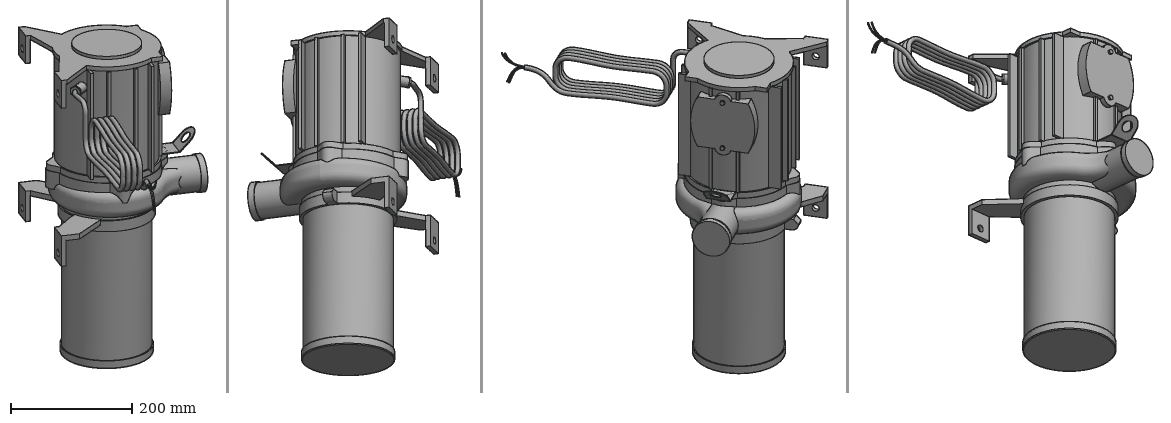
import cadquery as cq
import math


cap_top = 551.0
plate_top = 545.5
plate_thickness = 7.5
flange_top = 348.0
flange_bottom = 338.0
lug_bottom = 306.5
volute_top = 322.0
volute_bottom = 276.5
clamp_top = 266.0
clamp_bottom = 247.0
foot_ring_height = 14.5

cap_diameter = 115.5
motor_radius = 86.5
plate_radius = 90.0
plate_ear_half_width = 70.5
plate_ear_y = 75.0
rib_thickness = 5.0
outer_rib_reach = 88.0
inner_rib_reach = 91.0
outer_rib_y = 52.5
inner_rib_y = 23.0
back_rib_reach = 87.5
flange_radius = 91.0
flange_inset = 1.0
lug_tip_radius = 104.5
lug_root_radius = 82.5
lug_root_half_width = 27.0
lug_tip_half_width = 9.5
lug_tip_bulge = 4.0

bracket_half_width = 119.5
bracket_front_y = -115.0
tab_width = 39.5
tab_thickness = 8.0
tab_inner_x = bracket_half_width - tab_width
tab_back_y = bracket_front_y + tab_thickness
top_arm_root = (70.0, -56.0)
top_arm_corner_y = -105.0
top_arm_front_root = (19.0, -87.5)
low_arm_root_inner = (33.0, -64.0)
low_arm_root_outer = (71.0, -31.5)
low_arm_corner_y = -84.0
tab_hole_diameter = 12.0
tab_hole_x = 100.5
top_tab_bottom = 496.0
top_hole_z = 514.5
low_bracket_top = 268.0
low_bracket_thickness = 9.5
low_tab_bottom = 213.0
low_hole_z = 230.0

box_center_z = 476.0
box_half_width = 55.0
box_corner_half_width = 43.5
box_height = 92.5
box_inner_y = 76.0
box_outer_y = 95.5
strap_height = 112.5
strap_width = 30.0
strap_inner_y = 86.5
screw_diameter = 7.5
screw_length = 3.5
screw_offset_z = 42.5

gland_angle = -45.0
gland_root_radius = 77.0
gland_nut_radius = 107.5
gland_z = 504.0
gland_diameter = 17.5
nut_size = 20.0
nut_length = 3.5

tube_diameter = 150.0
foot_ring_diameter = 154.5
foot_chamfer = 1.5
clamp_radius = 80.5
neck_radius = 77.0
volute_round = 15.5
volute_left = (-106.5, 10.5)
volute_front_y = -96.0
volute_front_right = (80.5, -60.0)
volute_throat_corner = (58.0, 82.5)
throat_half_width = 27.5
throat_end_y = 127.0
volute_throat_left = (-throat_half_width, 109.0)
volute_back_left = (-77.5, 77.0)
outlet_z = 298.5
outlet_diameter = 61.0
outlet_rim_diameter = 64.5
outlet_rim_length = 11.0
outlet_end_y = 165.0
clasp_tip_x = -104.0
clasp_y = (-9.5, 7.0)
clasp_round = 12.0
clasp_tip_z = clamp_bottom + clasp_round
clasp_top = 267.0

eye_width = 41.0
eye_thickness = 1.5
eye_inner_y = 88.0
eye_bend_y = 120.0
eye_slope_length = 44.0
eye_hole_diameter = 20.0
eye_angle = 45.0

cable_diameter = 8.0
coil_left = 136.0
coil_right = 328.5
coil_bottom = 421.5
coil_top = 482.5
coil_corner = 23.5
coil_sag = 3.0
coil_start_y = -78.0
coil_pitch = 10.0
coil_turns = 4
lead_drop_top_z = 487.5
tail_middle = (340.5, -37.0, 442.5)
cable_end = (381.5, -44.0, 453.0)
wire_diameter = 2.0
wire_spacing = 0.5
wire_embed = 2.0
wire_end_lean = 0.4
wire_ends = [(3.0, 415.0, 475.0), (-3.0, 421.0, 473.5), (3.0, 408.0, 421.0), (-3.0, 411.5, 421.0)]


def disc(radius, bottom, top):
    """Cylinder on the Z axis."""
    return cq.Workplane("XY").workplane(offset=bottom).circle(radius).extrude(top - bottom)


def block(x0, x1, y0, y1, z0, z1):
    """Axis-aligned box between two corners."""
    return cq.Workplane("XY").box(x1 - x0, y1 - y0, z1 - z0, centered=False).translate((x0, y0, z0))


def lugged_disc(bottom, top, lug_base, inset):
    """Flange disc with four rounded bolt lugs."""
    body = disc(flange_radius - inset, bottom, top)
    tip = lug_tip_radius - inset
    lug = (
        cq.Workplane("XY")
        .workplane(offset=lug_base)
        .moveTo(lug_root_radius, -lug_root_half_width)
        .lineTo(tip - lug_tip_bulge, -lug_tip_half_width)
        .threePointArc((tip, 0), (tip - lug_tip_bulge, lug_tip_half_width))
        .lineTo(lug_root_radius, lug_root_half_width)
        .close()
        .extrude(top - lug_base)
    )
    for quarter in range(4):
        body = body.union(lug.rotate((0, 0, 0), (0, 0, 1), 90 * quarter))
    return body


def tab(side, bottom, top, hole_z):
    """Upright bracket tab with its screw hole; side is -1 or +1 along X."""
    x_edges = sorted((side * bracket_half_width, side * tab_inner_x))
    plate = block(*x_edges, bracket_front_y, tab_back_y, bottom, top)
    hole = (
        cq.Workplane("XZ", origin=(side * tab_hole_x, 0, hole_z))
        .circle(tab_hole_diameter / 2)
        .extrude(-2 * bracket_front_y, both=True)
    )
    return plate.cut(hole)


def top_plate():
    """Round motor end plate with two back ears and two front bracket arms."""
    bottom = plate_top - plate_thickness
    right_side = [
        top_arm_front_root,
        (tab_inner_x, tab_back_y),
        (tab_inner_x, bracket_front_y),
        (bracket_half_width, bracket_front_y),
        (bracket_half_width, top_arm_corner_y),
        top_arm_root,
    ]
    left_side = [(-x, y) for x, y in reversed(right_side)]
    arms = cq.Workplane("XY").workplane(offset=bottom).polyline(right_side + left_side).close()
    arms = arms.extrude(plate_thickness)
    ears = block(-plate_ear_half_width, plate_ear_half_width, 0, plate_ear_y, bottom, plate_top)
    plate = disc(plate_radius, bottom, plate_top).union(arms).union(ears)
    for side in (-1, 1):
        plate = plate.union(tab(side, top_tab_bottom, plate_top, top_hole_z))
    return plate


def ribbed_barrel():
    """Motor barrel with upright cooling ribs on both sides and on the back."""
    top = plate_top - plate_thickness
    half = rib_thickness / 2
    barrel = disc(motor_radius, flange_top, top)
    for rib_y, reach in ((outer_rib_y, outer_rib_reach), (inner_rib_y, inner_rib_reach)):
        for y in (-rib_y, rib_y):
            barrel = barrel.union(block(-reach, reach, y - half, y + half, flange_top, top))
    for x in (-inner_rib_y, inner_rib_y):
        barrel = barrel.union(block(x - half, x + half, 0, back_rib_reach, flange_top, top))
    return barrel


def junction_box():
    """Box with bulging sides, a taller round-ended strap and two strap screws, on the motor back."""
    half_height = box_height / 2
    box = (
        cq.Workplane("XZ", origin=(0, box_outer_y, box_center_z))
        .moveTo(-box_corner_half_width, -half_height)
        .lineTo(box_corner_half_width, -half_height)
        .threePointArc((box_half_width, 0), (box_corner_half_width, half_height))
        .lineTo(-box_corner_half_width, half_height)
        .threePointArc((-box_half_width, 0), (-box_corner_half_width, -half_height))
        .close()
        .extrude(box_outer_y - box_inner_y)
    )
    strap = (
        cq.Workplane("XZ", origin=(0, box_outer_y, box_center_z))
        .slot2D(strap_height, strap_width, 90)
        .extrude(box_outer_y - strap_inner_y)
    )
    screws = (
        cq.Workplane("XZ", origin=(0, box_outer_y, box_center_z))
        .pushPoints([(0, -screw_offset_z), (0, screw_offset_z)])
        .circle(screw_diameter / 2)
        .extrude(-screw_length)
    )
    return box.union(strap).union(screws)


gland_direction = cq.Vector(math.cos(math.radians(gland_angle)), math.sin(math.radians(gland_angle)), 0)


def gland_point(radius):
    """Point on the radial gland axis at a distance from the motor axis."""
    return gland_direction * radius + cq.Vector(0, 0, gland_z)


def cable_gland():
    """Radial round gland with a hexagon nut at its outer end."""
    root_plane = cq.Plane(gland_point(gland_root_radius), xDir=(0, 0, 1), normal=gland_direction)
    nut_plane = cq.Plane(gland_point(gland_nut_radius), xDir=(0, 0, 1), normal=gland_direction)
    barrel = cq.Workplane(root_plane).circle(gland_diameter / 2)
    barrel = barrel.extrude(gland_nut_radius - gland_root_radius)
    nut = cq.Workplane(nut_plane).polygon(6, nut_size).extrude(nut_length)
    return barrel.union(nut)


def lifting_eye():
    """Thin strip over the back flange lug, bent up at its free end and pierced."""
    half = eye_width / 2
    strip = block(-half, half, eye_inner_y, eye_bend_y, flange_top, flange_top + eye_thickness)
    hole_y = eye_slope_length - half
    slope = (
        cq.Workplane("XY")
        .moveTo(-half, 0)
        .lineTo(half, 0)
        .lineTo(half, hole_y)
        .threePointArc((0, eye_slope_length), (-half, hole_y))
        .close()
        .extrude(eye_thickness)
        .cut(cq.Workplane("XY").center(0, hole_y).circle(eye_hole_diameter / 2).extrude(eye_thickness))
        .rotate((0, 0, 0), (1, 0, 0), eye_angle)
        .translate((0, eye_bend_y, flange_top))
    )
    return strip.union(slope)


def make_motor():
    """Motor with its end plate, flange, junction box, gland and lifting eye."""
    motor = ribbed_barrel().union(top_plate())
    motor = motor.union(disc(cap_diameter / 2, plate_top, cap_top))
    motor = motor.union(lugged_disc(flange_bottom, flange_top, flange_bottom, flange_inset))
    return motor.union(junction_box()).union(cable_gland()).union(lifting_eye())


def volute():
    """Pump volute that widens around the -X side towards the outlet, with rounded rims."""
    return (
        cq.Workplane("XY")
        .workplane(offset=volute_bottom)
        .moveTo(*volute_left)
        .threePointArc((0, volute_front_y), volute_front_right)
        .tangentArcPoint(volute_throat_corner, relative=False)
        .tangentArcPoint((throat_half_width, throat_end_y), relative=False)
        .lineTo(-throat_half_width, throat_end_y)
        .lineTo(*volute_throat_left)
        .threePointArc(volute_back_left, volute_left)
        .close()
        .extrude(volute_top - volute_bottom)
        .faces("<Z or >Z")
        .edges()
        .fillet(volute_round)
    )


def outlet():
    """Horizontal outlet pipe towards +Y with a rim at its end."""
    pipe = (
        cq.Workplane("XZ", origin=(0, 0, outlet_z))
        .circle(outlet_diameter / 2)
        .extrude(-outlet_end_y)
    )
    rim = (
        cq.Workplane("XZ", origin=(0, outlet_end_y, outlet_z))
        .circle(outlet_rim_diameter / 2)
        .extrude(outlet_rim_length)
    )
    return pipe.union(rim)


def low_bracket(side):
    """Arm from the clamp ring to a tab; side is -1 or +1 along X."""
    arm = (
        cq.Workplane("XY")
        .workplane(offset=low_bracket_top - low_bracket_thickness)
        .polyline([
            (side * low_arm_root_inner[0], low_arm_root_inner[1]),
            (side * tab_inner_x, tab_back_y),
            (side * tab_inner_x, bracket_front_y),
            (side * bracket_half_width, bracket_front_y),
            (side * bracket_half_width, low_arm_corner_y),
            (side * low_arm_root_outer[0], low_arm_root_outer[1]),
        ])
        .close()
        .extrude(low_bracket_thickness)
    )
    return arm.union(tab(side, low_tab_bottom, low_bracket_top, low_hole_z))


def clasp():
    """Clamp-ring clasp on the -X side: rounded below its tip, sloping back above it."""
    nose_x = clasp_tip_x + clasp_round
    shoulder_x = clasp_tip_x + clasp_top - clasp_tip_z
    mid = clasp_round * math.sqrt(0.5)
    return (
        cq.Workplane("XZ", origin=(0, clasp_y[1], 0))
        .moveTo(0, clamp_bottom)
        .lineTo(nose_x, clamp_bottom)
        .threePointArc((nose_x - mid, clasp_tip_z - mid), (clasp_tip_x, clasp_tip_z))
        .lineTo(shoulder_x, clasp_top)
        .lineTo(0, clasp_top)
        .close()
        .extrude(clasp_y[1] - clasp_y[0])
    )


def make_pump():
    """Pump tube, clamp ring, volute, outlet and lower brackets under the motor flange."""
    foot_ring = disc(foot_ring_diameter / 2, 0, foot_ring_height).faces("<Z").chamfer(foot_chamfer)
    pump = disc(tube_diameter / 2, 0, clamp_bottom).union(foot_ring)
    pump = pump.union(disc(clamp_radius, clamp_bottom, clamp_top)).union(clasp())
    pump = pump.union(disc(neck_radius, clamp_top, volute_bottom))
    pump = pump.union(volute()).union(outlet())
    pump = pump.union(lugged_disc(volute_bottom + volute_round, flange_bottom, lug_bottom, 0))
    for side in (-1, 1):
        pump = pump.union(low_bracket(side))
    return pump


def run_edge(start, end, sag):
    """Slightly sagging coil run that leaves and arrives parallel to X."""
    heading = cq.Vector(math.copysign(1, end.x - start.x), 0, 0)
    middle = (start + end) / 2 + cq.Vector(0, 0, sag)
    return cq.Edge.makeSpline([start, middle, end], tangents=[heading, heading])


def corner_edge(start, corner, end):
    """Quarter arc between two points, rounding the given sharp corner."""
    center = start + end - corner
    middle = center + (corner - center) * math.sqrt(0.5)
    return cq.Edge.makeThreePointArc(start, middle, end)


def end_edges(x, inner_x, y, start_z, end_z):
    """Upright coil end in one XZ plane: corner, straight and corner."""
    step = math.copysign(coil_corner, end_z - start_z)
    low = cq.Vector(x, y, start_z + step)
    high = cq.Vector(x, y, end_z - step)
    return [
        corner_edge(cq.Vector(inner_x, y, start_z), cq.Vector(x, y, start_z), low),
        cq.Edge.makeLine(low, high),
        corner_edge(high, cq.Vector(x, y, end_z), cq.Vector(inner_x, y, end_z)),
    ]


def coil_edges():
    """Coil centre line from the lower left corner of the first turn to the lower run of the last."""
    run_left = coil_left + coil_corner
    run_right = coil_right - coil_corner
    edges = []
    for turn in range(coil_turns + 1):
        left_y = coil_start_y + turn * coil_pitch
        right_y = left_y + coil_pitch / 2
        next_y = left_y + coil_pitch
        lower_right = cq.Vector(run_right, right_y, coil_bottom)
        edges.append(run_edge(cq.Vector(run_left, left_y, coil_bottom), lower_right, coil_sag))
        if turn == coil_turns:
            break
        upper_right = cq.Vector(run_right, right_y, coil_top)
        upper_left = cq.Vector(run_left, next_y, coil_top)
        edges += end_edges(coil_right, run_right, right_y, coil_bottom, coil_top)
        edges.append(run_edge(upper_right, upper_left, -coil_sag))
        edges += end_edges(coil_left, run_left, next_y, coil_top, coil_bottom)
    return edges


def lead_in_edges():
    """Cable from the gland, bending down beside the coil into its first lower run."""
    drop_top = cq.Vector(coil_left, coil_start_y, lead_drop_top_z)
    drop_end = cq.Vector(coil_left, coil_start_y, coil_bottom + coil_corner)
    lead_corner = cq.Vector(coil_left, coil_start_y, gland_z)
    lead_radius = gland_z - lead_drop_top_z
    lead_start = cq.Vector(coil_left - lead_radius, coil_start_y, gland_z)
    return [
        cq.Edge.makeSpline(
            [gland_point(gland_nut_radius + nut_length), lead_start],
            tangents=[gland_direction, cq.Vector(1, 0, 0)],
        ),
        corner_edge(lead_start, lead_corner, drop_top),
        cq.Edge.makeLine(drop_top, drop_end),
        corner_edge(
            drop_end,
            cq.Vector(coil_left, coil_start_y, coil_bottom),
            cq.Vector(coil_left + coil_corner, coil_start_y, coil_bottom),
        ),
    ]


def tail_edge():
    """Free cable end that rises out of the last lower run and bends back towards +X."""
    start_y = coil_start_y + (coil_turns + 0.5) * coil_pitch
    return cq.Edge.makeSpline(
        [
            cq.Vector(coil_right - coil_corner, start_y, coil_bottom),
            cq.Vector(*tail_middle),
            cq.Vector(*cable_end),
        ],
        tangents=[cq.Vector(1, 0, 0), cq.Vector(1, 0, 0)],
    )


def tube_along(edges, diameter):
    """Round tube along a smooth chain of edges."""
    path = cq.Wire.assembleEdges(edges)
    plane = cq.Plane(edges[0].startPoint(), normal=edges[0].tangentAt(0))
    return cq.Workplane(plane).circle(diameter / 2).sweep(path)


def wire(start_y, end_x, end_z):
    """One thin conductor that leaves the cable along X and curves up or down."""
    start = cq.Vector(cable_end[0] - wire_embed, start_y, cable_end[2])
    end = cq.Vector(end_x, start_y, end_z)
    rise = math.copysign(1, end_z - start.z)
    edge = cq.Edge.makeSpline(
        [start, end], tangents=[cq.Vector(1, 0, 0), cq.Vector(wire_end_lean, 0, rise)]
    )
    return tube_along([edge], wire_diameter)


def make_cable():
    """Coiled cable with its thin conductors at the free end."""
    cable = tube_along(lead_in_edges() + coil_edges() + [tail_edge()], cable_diameter)
    for level, end_x, end_z in wire_ends:
        cable = cable.union(wire(cable_end[1] + level * wire_spacing, end_x, end_z))
    return cable


motor = make_motor()
pump = make_pump()
cable = make_cable()

result = cq.Compound.makeCompound([*motor.solids().vals(), *pump.solids().vals(), *cable.solids().vals()])